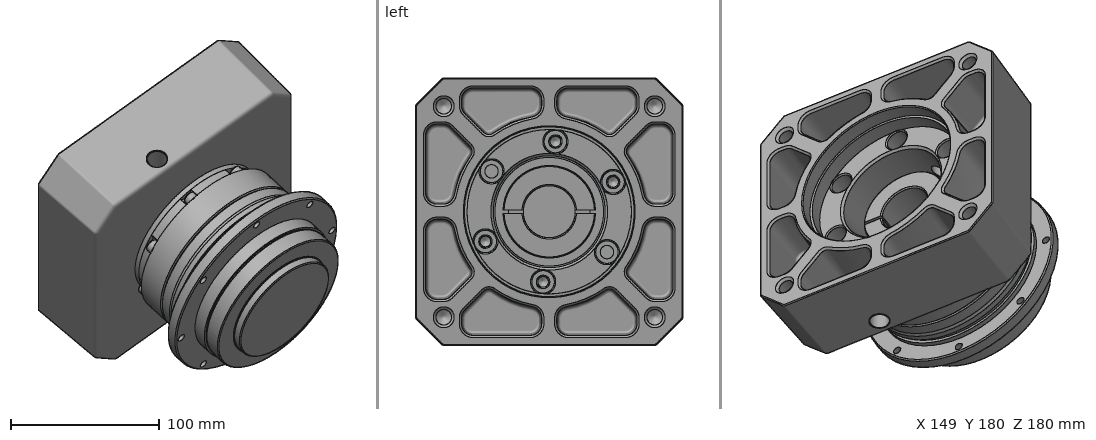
import cadquery as cq
import math

chamfer_angle = 45.0

plate_side = 180.0
plate_corner_cut = 18.4
plate_corner_radius = 2.7
plate_length = 57.6
plate_draft = 2.1
plate_front_chamfer = 0.7
plate_rear_round = 2.7
spigot_radius = 53.3
spigot_draft_growth = 0.4
plate_end = 61.2

recess_radius = 57.8
recess_chamfer = 0.7
recess_depth = 10.0
inner_recess_radius = 55.3
inner_recess_depth = 20.2
plate_bore_radius = 37.6
plate_bore_chamfer = 1.6

pocket_rib_half = 3.6
pocket_diagonal_rib = 7.2
pocket_outer = 84.6
pocket_width_end = 60.5
pocket_inner_radius = 63.4
pocket_corner_radius = 9.4
pocket_tip_radius = 6.5
pocket_depth = 36.0
pocket_mouth_chamfer = 1.5
pocket_floor_radius = 1.8

corner_hole_offset = 71.0
corner_hole_radius = 5.2
corner_hole_mouth_radius = 7.0
corner_hole_depth = 36.0
drill_tip_angle = 118.0

plate_screw_count = 6
plate_screw_circle = 47.3
plate_screw_start = 35.0
counterbore_radius = 7.5
counterbore_mouth_radius = 8.5
counterbore_floor = 48.6
plate_screw_radius = 4.5
plate_screw_plain = (0, 3)
thread_radius = 3.6
thread_depth = 14.4

port_radius = 6.7
port_mouth_radius = 7.2
clamp_x = 46.5
clamp_y = 24.0

hub_face = 37.8
hub_collar_radius = 31.1
hub_collar_end = 55.8
hub_stem_radius = 27.5
hub_edge_chamfer = 0.7
hub_bore_radius = 17.5
hub_bore_chamfer = 0.9
hub_slit_width = 2.2
hub_slit_end = 61.2
clamp_seat_radius = 7.0
clamp_seat_height = 8.1
clamp_head_radius = 4.7
clamp_head_height = 4.5
clamp_socket_radius = 3.5
clamp_socket_depth = 2.7

hub_recess_radius = 36.5
hub_recess_floor = 68.4
ring_start = 70.5
ring_radius = 59.4
ring_joint = 91.0
ring_chamfer = 0.9
cone_start = 99.4
cone_end = 101.5
seat_radius = 60.1
groove_start = 105.3
groove_end = 108.7
groove_radius = 58.0
flange_start = 112.0
flange_end = 120.6
flange_radius = 72.5
flange_chamfer = 0.9
flange_hole_count = 8
flange_hole_circle = 67.5
flange_hole_radius = 2.7
pilot_radius = 55.3
pilot_end = 130.0
relief_radius = 53.8
relief_end = 131.0
output_radius = 54.2
output_end = 142.7
output_chamfer = 0.7
nose_radius = 40.0
nose_end = 149.0
nose_chamfer = 0.7
nose_step_radius = 40.5
nose_step_end = 143.5

ring_screw_count = 8
ring_screw_circle = 54.0
ring_screw_start = 12.4
ring_screw_head_radius = 4.5
ring_screw_head_start = 64.6
ring_screw_head_chamfer = 0.9
ring_screw_clearance_radius = 5.0


def revolve_about_x(points):
    """Solid of revolution about the X axis from (x, radius) points; the axis closes the outline."""
    end_x, end_radius = points[-1]
    outline = [(points[0][0], 0)] + points
    if end_radius > 0:
        outline.append((end_x, 0))
    return cq.Workplane("XY").polyline(outline).close().revolve(360, (0, 0, 0), (1, 0, 0))


def cylinder_x(radius, start, end, y=0, z=0):
    """Cylinder along +X between two X positions."""
    return cq.Workplane("YZ", origin=(start, y, z)).circle(radius).extrude(end - start)


def circle_places(count, radius, start_angle):
    """(y, z) places spread evenly on a circle about the X axis."""
    angles = [math.radians(start_angle + i * 360 / count) for i in range(count)]
    return [(radius * math.cos(a), radius * math.sin(a)) for a in angles]


def drill_tip_length(radius):
    return radius / math.tan(math.radians(drill_tip_angle / 2))


def drafted_block():
    """Square block with cut corners that narrows toward the gearbox."""
    half = plate_side / 2
    flat = half - plate_corner_cut
    outline = [
        (half, flat), (flat, half), (-flat, half), (-half, flat),
        (-half, -flat), (-flat, -half), (flat, -half), (half, -flat),
    ]
    widest = cq.Workplane("YZ", origin=(plate_front_chamfer, 0, 0)).polyline(outline).close()
    block = widest.extrude(plate_length - plate_front_chamfer, taper=plate_draft)
    block = block.edges("not(<X or >X)").fillet(plate_corner_radius)
    block = block.faces(">X").edges().fillet(plate_rear_round)
    front_outline = block.faces("<X").wires().toPending()
    return front_outline.workplane().extrude(plate_front_chamfer, taper=chamfer_angle)


def pocket_outline():
    """Rounded outline of the pocket at the +Z side of the plate, on the +Y side of its middle rib."""
    tip_y = (-pocket_diagonal_rib + math.sqrt(2 * pocket_inner_radius**2 - pocket_diagonal_rib**2)) / 2
    tip = (tip_y, tip_y + pocket_diagonal_rib)
    rib_foot = (pocket_rib_half, math.sqrt(pocket_inner_radius**2 - pocket_rib_half**2))
    middle_angle = (math.atan2(tip[1], tip[0]) + math.atan2(rib_foot[1], rib_foot[0])) / 2
    arc_middle = (
        pocket_inner_radius * math.cos(middle_angle),
        pocket_inner_radius * math.sin(middle_angle),
    )
    wire = (
        cq.Workplane("YZ")
        .moveTo(*rib_foot)
        .lineTo(pocket_rib_half, pocket_outer)
        .lineTo(pocket_width_end, pocket_outer)
        .lineTo(pocket_width_end, pocket_width_end + pocket_diagonal_rib)
        .lineTo(*tip)
        .threePointArc(arc_middle, rib_foot)
        .close()
        .val()
    )
    tip_vertex = min(wire.Vertices(), key=lambda v: math.hypot(v.Y - tip[0], v.Z - tip[1]))
    wire = wire.fillet2D(pocket_tip_radius, [tip_vertex])
    sharp_places = [
        rib_foot,
        (pocket_rib_half, pocket_outer),
        (pocket_width_end, pocket_outer),
        (pocket_width_end, pocket_width_end + pocket_diagonal_rib),
    ]
    sharp = [
        v for v in wire.Vertices()
        if any(math.hypot(v.Y - y, v.Z - z) < pocket_mouth_chamfer for y, z in sharp_places)
    ]
    return wire.fillet2D(pocket_corner_radius, sharp)


def pocket_cutter():
    """Drafted pocket with a chamfered mouth and a rounded floor."""
    mouth = pocket_outline()
    throat = mouth.offset2D(-pocket_mouth_chamfer)[0]
    flare = cq.Solid.extrudeLinear(mouth, [], cq.Vector(pocket_mouth_chamfer, 0, 0), chamfer_angle)
    shaft = cq.Solid.extrudeLinear(throat, [], cq.Vector(pocket_depth, 0, 0), plate_draft)
    shaft = cq.Workplane(shaft).faces(">X").edges().fillet(pocket_floor_radius)
    return shaft.union(cq.Workplane(flare))


def corner_hole_cutter():
    """Blind hole with a chamfered mouth and a drill tip, on the X axis."""
    mouth_chamfer = corner_hole_mouth_radius - corner_hole_radius
    return revolve_about_x([
        (0, corner_hole_mouth_radius),
        (mouth_chamfer, corner_hole_radius),
        (corner_hole_depth, corner_hole_radius),
        (corner_hole_depth + drill_tip_length(corner_hole_radius), 0),
    ])


def plate_screw_cutter():
    """Through hole with a chamfered counterbore, on the X axis."""
    mouth_chamfer = counterbore_mouth_radius - counterbore_radius
    return revolve_about_x([
        (inner_recess_depth, counterbore_mouth_radius),
        (inner_recess_depth + mouth_chamfer, counterbore_radius),
        (counterbore_floor, counterbore_radius),
        (counterbore_floor, plate_screw_radius),
        (plate_end, plate_screw_radius),
    ])


def port_cutter():
    """Chamfered access hole from the +Z side of the plate down to the clamp screw."""
    surface = plate_side / 2 - (clamp_x - plate_front_chamfer) * math.tan(math.radians(plate_draft))
    mouth_chamfer = port_mouth_radius - port_radius
    hole = cq.Workplane("XY", origin=(clamp_x, -clamp_y, 0)).circle(port_radius).extrude(plate_side / 2)
    mouth = (
        cq.Workplane("XY", origin=(clamp_x, -clamp_y, surface))
        .circle(port_mouth_radius)
        .extrude(-mouth_chamfer, taper=chamfer_angle)
    )
    return hole.union(mouth)


def half_turn(workplane):
    return workplane.rotate((0, 0, 0), (1, 0, 0), 180)


def build_plate():
    spigot = revolve_about_x([
        (plate_length - plate_rear_round, spigot_radius + spigot_draft_growth),
        (plate_end, spigot_radius),
    ])
    body = drafted_block().union(spigot)

    bore = revolve_about_x([
        (0, recess_radius),
        (recess_chamfer, recess_radius - recess_chamfer),
        (recess_depth, recess_radius - recess_chamfer),
        (recess_depth, inner_recess_radius),
        (inner_recess_depth, inner_recess_radius),
        (inner_recess_depth, plate_bore_radius + plate_bore_chamfer),
        (inner_recess_depth + plate_bore_chamfer, plate_bore_radius),
        (plate_end, plate_bore_radius),
    ])
    body = body.cut(bore)

    pocket = pocket_cutter()
    for side_angle in (0, 90, 180, 270):
        for shape in (pocket, pocket.mirror("XZ")):
            body = body.cut(shape.rotate((0, 0, 0), (1, 0, 0), side_angle))

    corner_hole = corner_hole_cutter()
    for y in (-corner_hole_offset, corner_hole_offset):
        for z in (-corner_hole_offset, corner_hole_offset):
            body = body.cut(corner_hole.translate((0, y, z)))

    screw_hole = plate_screw_cutter()
    for y, z in circle_places(plate_screw_count, plate_screw_circle, plate_screw_start):
        body = body.cut(screw_hole.translate((0, y, z)))

    port = port_cutter()
    return body.cut(port).cut(half_turn(port))


def clamp_screw_seat():
    """Flat seat for the clamp screw head, open toward +Z."""
    return (
        cq.Workplane("XY", origin=(clamp_x, -clamp_y, clamp_seat_height))
        .circle(clamp_seat_radius)
        .extrude(hub_collar_radius)
    )


def clamp_screw_head():
    """Socket head that stands on its seat."""
    return (
        cq.Workplane("XY", origin=(clamp_x, -clamp_y, clamp_seat_height))
        .circle(clamp_head_radius)
        .extrude(clamp_head_height)
        .faces(">Z").workplane()
        .hole(2 * clamp_socket_radius, clamp_socket_depth)
    )


def build_hub():
    body = revolve_about_x([
        (hub_face, hub_collar_radius - hub_edge_chamfer),
        (hub_face + hub_edge_chamfer, hub_collar_radius),
        (hub_collar_end, hub_collar_radius),
        (hub_collar_end, hub_stem_radius),
        (hub_recess_floor, hub_stem_radius),
    ])
    bore = revolve_about_x([
        (hub_face, hub_bore_radius + hub_bore_chamfer),
        (hub_face + hub_bore_chamfer, hub_bore_radius),
        (hub_recess_floor, hub_bore_radius),
    ])
    slit_length = hub_slit_end - hub_face
    slit = cq.Workplane("XY").box(slit_length, 2 * hub_collar_radius, hub_slit_width)
    slit = slit.translate((hub_face + slit_length / 2, 0, 0))
    seat = clamp_screw_seat()
    head = clamp_screw_head()
    body = body.cut(bore).cut(slit)
    for feature_seat, feature_head in ((seat, head), (half_turn(seat), half_turn(head))):
        body = body.cut(feature_seat).union(feature_head)
    return body


def gearbox_profile():
    """Stepped outside of the gearbox, from its input neck to its output nose."""
    return revolve_about_x([
        (plate_end, spigot_radius),
        (ring_start, spigot_radius),
        (ring_start, ring_radius),
        (ring_joint - ring_chamfer, ring_radius),
        (ring_joint, ring_radius - ring_chamfer),
        (ring_joint + ring_chamfer, ring_radius),
        (cone_start, ring_radius),
        (cone_end, seat_radius),
        (groove_start, seat_radius),
        (groove_start, groove_radius),
        (groove_end, groove_radius),
        (groove_end, seat_radius),
        (flange_start, seat_radius),
        (flange_start, flange_radius - flange_chamfer),
        (flange_start + flange_chamfer, flange_radius),
        (flange_end - flange_chamfer, flange_radius),
        (flange_end, flange_radius - flange_chamfer),
        (flange_end, pilot_radius),
        (pilot_end, pilot_radius),
        (pilot_end, relief_radius),
        (relief_end, relief_radius),
        (relief_end, output_radius),
        (output_end - output_chamfer, output_radius),
        (output_end, output_radius - output_chamfer),
        (output_end, nose_step_radius),
        (nose_step_end, nose_step_radius),
        (nose_step_end, nose_radius),
        (nose_end - nose_chamfer, nose_radius),
        (nose_end, nose_radius - nose_chamfer),
    ])


def ring_screw_head():
    """Chamfered screw head on the X axis, resting on the ring."""
    return revolve_about_x([
        (ring_screw_head_start, ring_screw_head_radius - ring_screw_head_chamfer),
        (ring_screw_head_start + ring_screw_head_chamfer, ring_screw_head_radius),
        (ring_start, ring_screw_head_radius),
    ])


def thread_cutter():
    """Threaded hole with a chamfered mouth and a drill tip, behind a plate screw hole."""
    mouth_chamfer = plate_screw_radius - thread_radius
    return revolve_about_x([
        (plate_end, plate_screw_radius),
        (plate_end + mouth_chamfer, thread_radius),
        (plate_end + thread_depth, thread_radius),
        (plate_end + thread_depth + drill_tip_length(thread_radius), 0),
    ])


def build_gearbox():
    body = gearbox_profile().cut(cylinder_x(hub_recess_radius, plate_end, hub_recess_floor))

    screw_head = ring_screw_head()
    for y, z in circle_places(ring_screw_count, ring_screw_circle, ring_screw_start):
        clearance = cylinder_x(ring_screw_clearance_radius, plate_end, ring_start, y, z)
        body = body.cut(clearance).union(screw_head.translate((0, y, z)))

    thread = thread_cutter()
    places = circle_places(plate_screw_count, plate_screw_circle, plate_screw_start)
    for number, (y, z) in enumerate(places):
        if number not in plate_screw_plain:
            body = body.cut(thread.translate((0, y, z)))

    for y, z in circle_places(flange_hole_count, flange_hole_circle, 0):
        body = body.cut(cylinder_x(flange_hole_radius, flange_start, flange_end, y, z))
    return body


plate = build_plate()
hub = build_hub()
gearbox = build_gearbox()

result = cq.Compound.makeCompound([plate.val(), hub.val(), gearbox.val()])